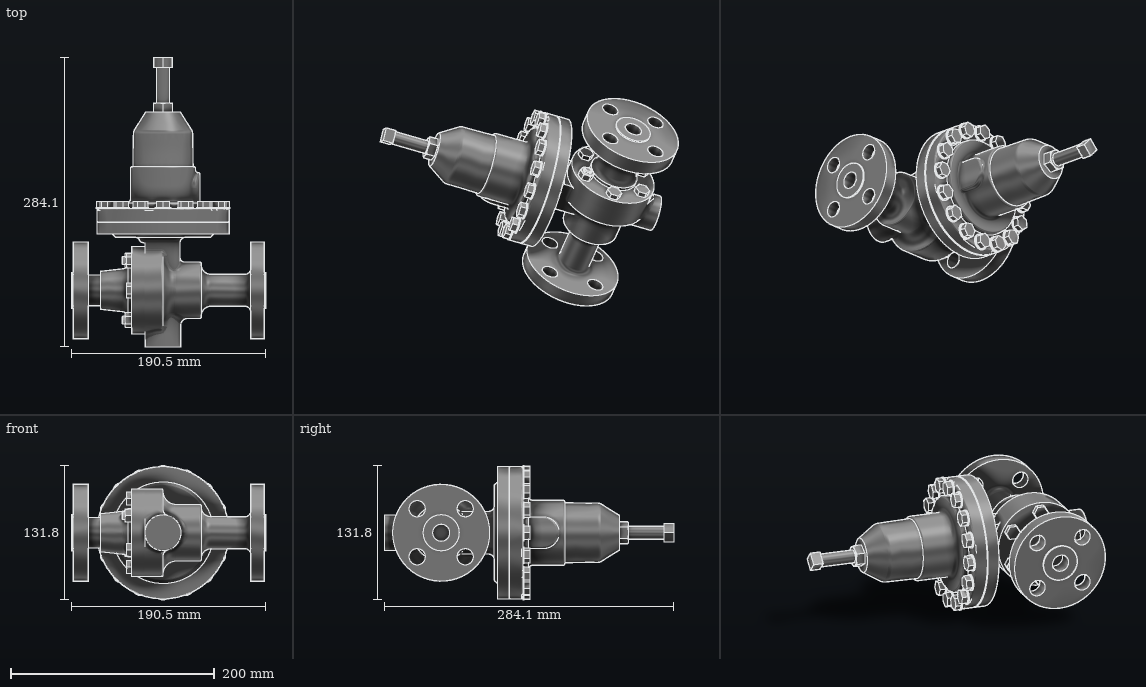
import cadquery as cq
import math


flange_radius = 47.6
raised_face_radius = 17.7
raised_face_height = 1.5
flange_bolt_circle_radius = 33.3
flange_hole_diameter = 15.9
flange_hole_count = 4
flange_hole_start_angle = 45
bore_diameter = 16.7

inlet_face_x = -89.6
inlet_flange_thickness = 15.0
outlet_face_x = 100.9
outlet_flange_thickness = 13.4

inlet_pipe_radius = 15.2
cone_start_x = -61.5
cone_start_radius = 18.7
cone_end_x = -39.9
cone_end_radius = 21.1
collar_x = -34.1
collar_radius = 23.9
cover_face_x = -30.7
joint_x = -17.75
body_flange_radius = 43.0
body_flange_edge_round = 1.5
body_flange_overrun = 25.0

cover_bolt_circle_radius = 33.7
cover_bolt_count = 6
cover_hex_width = 12.7
cover_head_height = 5.0
cover_nut_height = 6.8
nut_chamfer_drop = 0.8
cover_stud_diameter = 8.0
cover_stud_length = 9.6
cover_stud_chamfer = 1.0
cover_stud_indices = (1, 4)

body_radius = 27.8
body_blend_radius = 13.0
body_end_x = 37.7
body_end_round = 1.8
outlet_pipe_radius = 15.8
outlet_shoulder_blend = 9.2
outlet_root_blend = 5.6

boss_radius = 17.6
boss_bottom_y = -55.7
boss_edge_round = 0.7
neck_left_x = -22.3
neck_right_x = 16.7
neck_half_width = 21.0
neck_corner_radius = 6.3
neck_root_blend = 5.5
neck_blend = 4.5
boss_blend = 6.0
cover_clearance_radius = 50.6

case_radius = 65.0
pad_bottom_y = 51.9
pad_rim_y = 52.6
pad_rim_radius = 47.4
pad_bottom_radius = 46.0
case_bottom_y = 55.1
pad_top_radius = 49.8
case_joint_y = 66.9
case_joint_gap = 0.6
case_joint_depth = 0.8
case_top_y = 80.3
case_edge_round = 1.8
case_bolt_count = 16
case_bolt_circle_radius = 57.9
washer_radius = 7.98
washer_thickness = 1.0
case_hex_width = 13.0
case_head_height = 5.9

bonnet_base_radius = 48.0
bonnet_base_y = 85.5
bonnet_base_round = 2.3
bonnet_root_blend = 4.2
bonnet_radius = 32.0
bonnet_step_y = 121.3
bonnet_step_round = 1.8
barrel_bottom_radius = 29.7
barrel_top_radius = 29.2
barrel_top_y = 153.6
shoulder_y = 157.0
shoulder_radius = 28.3
bonnet_top_y = 175.0
bonnet_top_radius = 17.0

vent_half_width = 15.5
vent_center_y = 100.2
vent_outer_radius = 36.4
vent_edge_round = 2.5
vent_root_blend = 2.0

lock_nut_width = 19.0
lock_nut_top_y = 183.7
screw_diameter = 12.9
screw_head_bottom_y = 218.3
screw_head_top_y = 228.4
screw_head_width = 13.0

contact_tolerance = 1e-3
seam_probe = 0.37


def revolve_about_x(profile):
    return profile.close().revolve(360, (0, 0, 0), (1, 0, 0))


def revolve_about_y(profile):
    return profile.close().revolve(360, (0, 0, 0), (0, 1, 0))


def cylinder_x(radius, x_start, x_end):
    return cq.Workplane("YZ", origin=(x_start, 0, 0)).circle(radius).extrude(x_end - x_start)


def cylinder_y(radius, y_start, y_end):
    return cq.Workplane("XZ", origin=(0, y_end, 0)).circle(radius).extrude(y_end - y_start)


def hex_prism(across_flats, height, chamfer_drop):
    """Upright hexagon on Z = 0 with a corner on the X axis and its top corners turned off."""
    corner_radius = across_flats / math.sqrt(3)
    prism = cq.Workplane("XY").polygon(6, 2 * corner_radius).extrude(height)
    if chamfer_drop == 0:
        return prism
    envelope = cq.Workplane("XY").circle(corner_radius).extrude(height)
    envelope = envelope.faces(">Z").chamfer(chamfer_drop, corner_radius - across_flats / 2)
    return prism.intersect(envelope)


def blend_joint(first, second, radius):
    """Unite two solids and round the edges along which their skins meet."""
    first_skin = first.val().Shells()[0]
    second_skin = second.val().Shells()[0]
    joined = first.union(second)
    seam = []
    for edge in joined.edges().vals():
        point = cq.Vertex.makeVertex(*edge.positionAt(seam_probe).toTuple())
        on_first = first_skin.distance(point) < contact_tolerance
        if on_first and second_skin.distance(point) < contact_tolerance:
            seam.append(edge)
    return joined.newObject(seam).fillet(radius)


def pipe_flange(face_x, thickness, inward):
    """Raised-face flange whose sealing face is at face_x; inward is +1 or -1 along X."""
    back_x = face_x + inward * (raised_face_height + thickness)
    rim_x = face_x + inward * raised_face_height
    disc = cylinder_x(flange_radius, min(rim_x, back_x), max(rim_x, back_x))
    raised = cylinder_x(raised_face_radius, min(face_x, rim_x), max(face_x, rim_x))
    holes = (
        cq.Workplane("YZ", origin=(min(rim_x, back_x), 0, 0))
        .polarArray(flange_bolt_circle_radius, flange_hole_start_angle, 360, flange_hole_count)
        .circle(flange_hole_diameter / 2)
        .extrude(thickness)
    )
    return disc.union(raised).cut(holes)


def flange_bore(face_x, thickness, inward):
    end_x = face_x + inward * (raised_face_height + thickness)
    return cylinder_x(bore_diameter / 2, min(face_x, end_x), max(face_x, end_x))


def inlet_cover():
    pipe_start_x = inlet_face_x + raised_face_height
    profile = (
        cq.Workplane("XY")
        .moveTo(pipe_start_x, 0)
        .lineTo(pipe_start_x, inlet_pipe_radius)
        .lineTo(cone_start_x, inlet_pipe_radius)
        .lineTo(cone_start_x, cone_start_radius)
        .lineTo(cone_end_x, cone_end_radius)
        .tangentArcPoint((collar_x, collar_radius), relative=False)
        .lineTo(cover_face_x, collar_radius)
        .lineTo(cover_face_x, body_flange_radius)
        .lineTo(joint_x, body_flange_radius)
        .lineTo(joint_x, 0)
    )
    return revolve_about_x(profile)


def cover_fasteners():
    """Hexes on the cover face; two opposite positions carry a stud and nut instead of a bolt."""
    fasteners = cq.Workplane("XY")
    for index in range(cover_bolt_count):
        angle = index * 360 / cover_bolt_count
        if index in cover_stud_indices:
            stud = cq.Workplane("XY").circle(cover_stud_diameter / 2).extrude(cover_stud_length)
            stud = stud.faces(">Z").chamfer(cover_stud_chamfer)
            fastener = hex_prism(cover_hex_width, cover_nut_height, nut_chamfer_drop).union(stud)
        else:
            fastener = hex_prism(cover_hex_width, cover_head_height, 0)
        fastener = (
            fastener.rotate((0, 0, 0), (0, 0, 1), 30)
            .rotate((0, 0, 0), (0, 1, 0), -90)
            .translate((cover_face_x, 0, cover_bolt_circle_radius))
            .rotate((0, 0, 0), (1, 0, 0), angle)
        )
        fasteners = fasteners.union(fastener)
    return fasteners


def body_shell():
    """Turned part of the body; its flange is left long so that the casting blends can run past it."""
    flange_start_x = joint_x - body_flange_overrun
    shoulder_start_radius = outlet_pipe_radius + outlet_shoulder_blend
    outlet_back_x = outlet_face_x - raised_face_height - outlet_flange_thickness
    profile = (
        cq.Workplane("XY")
        .moveTo(flange_start_x, 0)
        .lineTo(flange_start_x, body_flange_radius)
        .lineTo(-body_flange_edge_round, body_flange_radius)
        .radiusArc((0, body_flange_radius - body_flange_edge_round), body_flange_edge_round)
        .lineTo(0, body_radius + body_blend_radius)
        .radiusArc((body_blend_radius, body_radius), -body_blend_radius)
        .lineTo(body_end_x - body_end_round, body_radius)
        .radiusArc((body_end_x, body_radius - body_end_round), body_end_round)
        .lineTo(body_end_x, shoulder_start_radius)
        .radiusArc((body_end_x + outlet_shoulder_blend, outlet_pipe_radius), -outlet_shoulder_blend)
        .lineTo(outlet_back_x - outlet_root_blend, outlet_pipe_radius)
        .radiusArc((outlet_back_x, outlet_pipe_radius + outlet_root_blend), -outlet_root_blend)
        .lineTo(outlet_back_x, 0)
    )
    return revolve_about_x(profile)


def neck():
    return (
        cq.Workplane("XZ", origin=((neck_left_x + neck_right_x) / 2, pad_rim_y, 0))
        .rect(neck_right_x - neck_left_x, 2 * neck_half_width)
        .extrude(pad_rim_y)
        .edges("|Y")
        .fillet(neck_corner_radius)
    )


def bottom_boss():
    boss = cylinder_y(boss_radius, boss_bottom_y, 0)
    return boss.faces("<Y").edges().fillet(boss_edge_round)


def valve_body():
    body = blend_joint(body_shell(), bottom_boss(), boss_blend)
    return body.cut(cylinder_x(case_radius, inlet_face_x, joint_x))


def diaphragm_case():
    """Both halves of the case with the spring bonnet, turned about the Y axis."""
    profile = (
        cq.Workplane("XY")
        .moveTo(0, pad_bottom_y)
        .lineTo(pad_bottom_radius, pad_bottom_y)
        .tangentArcPoint((pad_rim_radius, pad_rim_y), relative=False)
        .lineTo(pad_top_radius, case_bottom_y)
        .lineTo(case_radius, case_bottom_y)
        .lineTo(case_radius, case_joint_y - case_joint_gap / 2)
        .lineTo(case_radius - case_joint_depth, case_joint_y - case_joint_gap / 2)
        .lineTo(case_radius - case_joint_depth, case_joint_y + case_joint_gap / 2)
        .lineTo(case_radius, case_joint_y + case_joint_gap / 2)
        .lineTo(case_radius, case_top_y - case_edge_round)
        .radiusArc((case_radius - case_edge_round, case_top_y), -case_edge_round)
        .lineTo(bonnet_base_radius, case_top_y)
        .lineTo(bonnet_base_radius, bonnet_base_y - bonnet_base_round)
        .radiusArc((bonnet_base_radius - bonnet_base_round, bonnet_base_y), -bonnet_base_round)
        .lineTo(bonnet_radius + bonnet_root_blend, bonnet_base_y)
        .radiusArc((bonnet_radius, bonnet_base_y + bonnet_root_blend), bonnet_root_blend)
        .lineTo(bonnet_radius, bonnet_step_y - bonnet_step_round)
        .radiusArc((bonnet_radius - bonnet_step_round, bonnet_step_y), -bonnet_step_round)
        .lineTo(barrel_bottom_radius, bonnet_step_y)
        .lineTo(barrel_top_radius, barrel_top_y)
        .tangentArcPoint((shoulder_radius, shoulder_y), relative=False)
        .lineTo(bonnet_top_radius, bonnet_top_y)
        .lineTo(0, bonnet_top_y)
    )
    return revolve_about_y(profile)


def is_vent_rim(edge):
    point = edge.positionAt(0.5)
    on_outer_face = math.isclose(math.hypot(point.x, point.z), vent_outer_radius, abs_tol=contact_tolerance)
    return on_outer_face and point.y > case_top_y + contact_tolerance


def vent_pad():
    """Round-topped pad on the +X side of the bonnet, its face curved about the bonnet axis."""
    top = (vent_center_y + vent_half_width, 0)
    inner_x = bonnet_radius / 2
    pad = (
        cq.Workplane("YZ", origin=(inner_x, 0, 0))
        .moveTo(case_top_y, -vent_half_width)
        .lineTo(vent_center_y, -vent_half_width)
        .threePointArc(top, (vent_center_y, vent_half_width))
        .lineTo(case_top_y, vent_half_width)
        .close()
        .extrude(bonnet_radius)
    )
    envelope = cylinder_y(vent_outer_radius, case_top_y, bonnet_step_y)
    pad = pad.intersect(envelope)
    rim = [edge for edge in pad.edges().vals() if is_vent_rim(edge)]
    return pad.newObject(rim).fillet(vent_edge_round)


def case_with_neck():
    """Case, vent pad and neck, hollowed beside the neck so that the round cover clears it."""
    case = blend_joint(diaphragm_case(), vent_pad(), vent_root_blend)
    case = blend_joint(case, neck(), neck_root_blend)
    return case.cut(cylinder_x(cover_clearance_radius, inlet_face_x, joint_x))


def case_bolts():
    head = hex_prism(case_hex_width, case_head_height, 0).translate((0, 0, washer_thickness))
    bolt = cq.Workplane("XY").circle(washer_radius).extrude(washer_thickness).union(head)
    bolt = bolt.rotate((0, 0, 0), (1, 0, 0), -90).translate((case_bolt_circle_radius, case_top_y, 0))
    bolts = cq.Workplane("XY")
    for index in range(case_bolt_count):
        bolts = bolts.union(bolt.rotate((0, 0, 0), (0, 1, 0), index * 360 / case_bolt_count))
    return bolts


def adjusting_screw():
    nut_height = lock_nut_top_y - bonnet_top_y
    nut = (
        hex_prism(lock_nut_width, nut_height, nut_chamfer_drop)
        .rotate((0, 0, 0), (0, 0, 1), 90)
        .rotate((0, 0, 0), (1, 0, 0), -90)
        .translate((0, bonnet_top_y, 0))
    )
    shank = cylinder_y(screw_diameter / 2, bonnet_top_y, screw_head_top_y)
    head = (
        cq.Workplane("XZ", origin=(0, screw_head_top_y, 0))
        .transformed(rotate=(0, 0, 45))
        .rect(screw_head_width, screw_head_width)
        .extrude(screw_head_top_y - screw_head_bottom_y)
    )
    return nut.union(shank).union(head)


casting = blend_joint(valve_body(), case_with_neck(), neck_blend)
result = (
    casting.union(inlet_cover())
    .union(cover_fasteners())
    .union(pipe_flange(inlet_face_x, inlet_flange_thickness, 1))
    .union(pipe_flange(outlet_face_x, outlet_flange_thickness, -1))
    .union(case_bolts())
    .union(adjusting_screw())
    .cut(flange_bore(inlet_face_x, inlet_flange_thickness, 1))
    .cut(flange_bore(outlet_face_x, outlet_flange_thickness, -1))
)